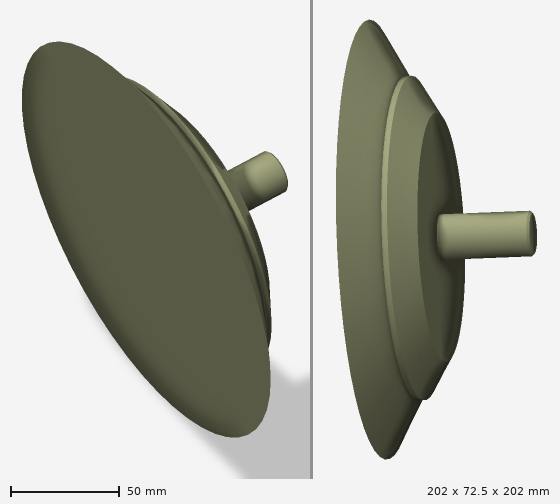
import cadquery as cq


lip_diameter = 202.0
cup_top_diameter = 147.0
cup_height = 16.0

rim_diameter = 149.0
rim_thickness = 2.7
plate_back_diameter = 114.4
plate_thickness = 13.5

stud_diameter = 20.95
stud_length = 43.0
stud_chamfer = 1.16

rim_top = cup_height + rim_thickness
plate_top = cup_height + plate_thickness
stud_tip = plate_top + stud_length


def turned(outline):
    """Turn (radius, Y) points, which start and end on the axis, into a solid about Y."""
    return cq.Workplane("XY").polyline(outline).close().revolve(360, (0, 0, 0), (0, 1, 0))


def make_cup():
    """Conical suction cup, widest at its sharp lip and flat on both ends."""
    return turned([
        (0, 0),
        (lip_diameter / 2, 0),
        (cup_top_diameter / 2, cup_height),
        (0, cup_height),
    ])


def make_stud_plate():
    """Backing plate with a short straight rim, a conical back and a chamfered stud."""
    stud_radius = stud_diameter / 2
    return turned([
        (0, cup_height),
        (rim_diameter / 2, cup_height),
        (rim_diameter / 2, rim_top),
        (plate_back_diameter / 2, plate_top),
        (stud_radius, plate_top),
        (stud_radius, stud_tip - stud_chamfer),
        (stud_radius - stud_chamfer, stud_tip),
        (0, stud_tip),
    ])


cup = make_cup()
stud_plate = make_stud_plate()
result = cq.Compound.makeCompound([cup.val(), stud_plate.val()])